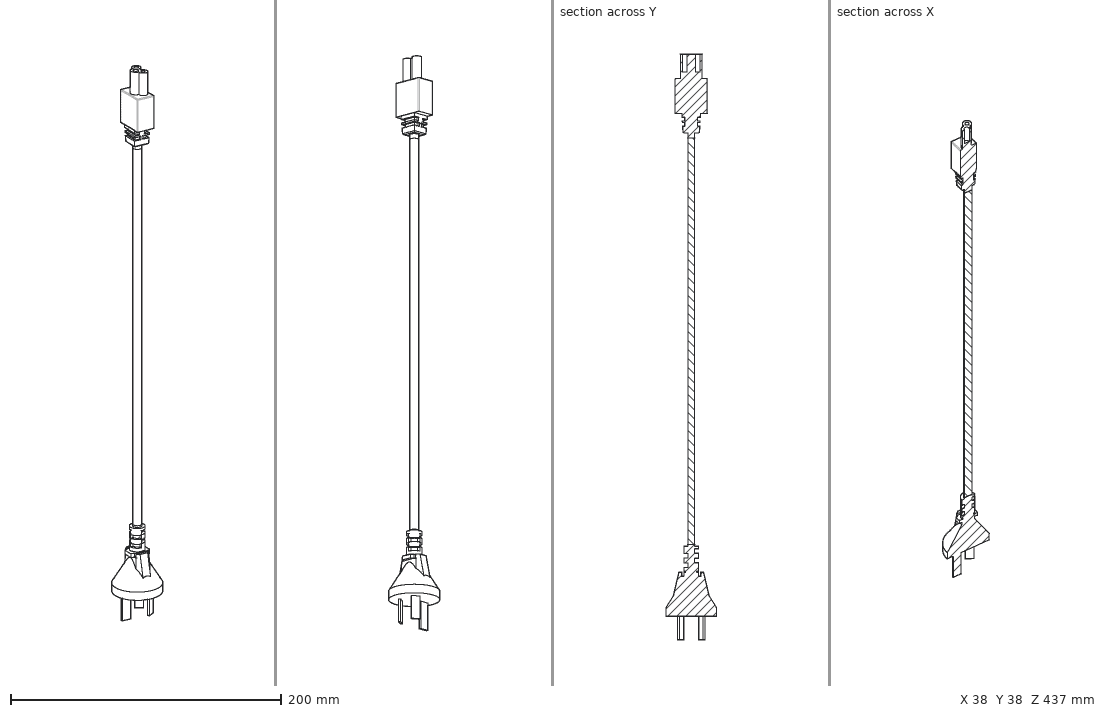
import cadquery as cq

total_height = 437.0
cord_diameter = 7.0

ground_pin_length = 21.0
ground_pin_width = 7.5
ground_pin_y = -9.85
live_pin_length = 17.5
live_pin_width = 6.5
live_pin_x = 8.0
live_pin_y = 6.5
live_pin_tilt = 30.0
pin_thickness = 1.6

disc_diameter = 38.0
disc_height = 6.5
disc_bottom = ground_pin_length
cone_bottom = disc_bottom + disc_height
cone_height = 23.5
cone_top_diameter = 8.7

hood_bottom = 35.0
hood_top = 50.5
hood_low_half_sizes = (8.5, 6.35)
hood_high_half_sizes = (7.0, 5.5)
rib_low_reach = 13.5
rib_high_reach = 9.0
rib_half_width = 3.28
rib_rise = 3.0

flange_reach = 8.5
flange_inner_half_width = 5.45
flange_outer_half_width = 4.15
flange_inner_y = 5.5
flange_height = rib_rise

relief_diameter = 12.0
relief_bottom = 54.0
relief_top = 73.0
relief_core_diameter = 7.0
throat_diameter = 9.5
slot_height = 3.0
slot_pitch = 3.5
first_slot_bottom = 57.2
slot_rows = 4
plug_neck_top = 74.5

housing_length = 24.0
housing_width = 15.0
housing_bottom = 393.0
housing_top = 419.0
housing_fillet = 0.65
block_top_size = 14.0
block_bottom_size = 12.2
block_bottom = 378.5
block_end_chamfer = 1.0
groove_core_size = 9.5
upper_groove_bottom = 387.5
lower_groove_bottom = 383.5
groove_height = 2.5
upper_bridge_width = 4.5
lower_bridge_width = 1.7
connector_neck_bottom = 375.0

upper_lobe_diameter = 7.0
upper_lobe_x = 5.0
upper_lobe_y = 2.0
lower_lobe_diameter = 8.5
lower_lobe_y = -1.5
upper_socket_diameter = 3.0
lower_socket_diameter = 4.0
socket_depth = 13.0


def cylinder(diameter, bottom, top, x=0.0, y=0.0):
    return (
        cq.Workplane("XY", origin=(x, y, bottom))
        .circle(diameter / 2)
        .extrude(top - bottom)
    )


def box(x_size, y_size, bottom, top, x=0.0, y=0.0):
    return (
        cq.Workplane("XY", origin=(x, y, bottom))
        .rect(x_size, y_size)
        .extrude(top - bottom)
    )



def plug_pins():
    ground = box(pin_thickness, ground_pin_width, 0, disc_bottom, y=ground_pin_y)
    pins = [ground]
    for side in (-1, 1):
        pin = (
            box(pin_thickness, live_pin_width, disc_bottom - live_pin_length, disc_bottom)
            .rotate((0, 0, 0), (0, 0, 1), side * live_pin_tilt)
            .translate((side * live_pin_x, live_pin_y, 0))
        )
        pins.append(pin)
    return pins


def plug_base():
    disc = cylinder(disc_diameter, disc_bottom, cone_bottom)
    cone = (
        cq.Workplane("XY", origin=(0, 0, cone_bottom))
        .circle(disc_diameter / 2)
        .workplane(offset=cone_height)
        .circle(cone_top_diameter / 2)
        .loft(ruled=True)
    )
    return disc.union(cone)


def hood_outline(core_half_sizes, rib_reach):
    """Corners of the hood: a rectangular core that tapers to a flat rib end at -X and +X."""
    half_length, half_width = core_half_sizes
    quarter = [(rib_reach, rib_half_width), (half_length, half_width)]
    upper = quarter + [(-x, y) for x, y in reversed(quarter)]
    return upper + [(x, -y) for x, y in reversed(upper)]


def plug_hood():
    rib_top = hood_top + rib_rise
    hood = (
        cq.Workplane("XY", origin=(0, 0, hood_bottom))
        .polyline(hood_outline(hood_low_half_sizes, rib_low_reach))
        .close()
        .workplane(offset=rib_top - hood_bottom)
        .polyline(hood_outline(hood_high_half_sizes, rib_high_reach))
        .close()
        .loft(ruled=True)
    )
    half_length, _ = hood_high_half_sizes
    recess = box(2 * half_length, disc_diameter, hood_top, rib_top)
    return hood.cut(recess)


def plug_flange():
    outline = [
        (flange_inner_half_width, flange_inner_y),
        (flange_outer_half_width, flange_reach),
    ]
    outline += [(-x, y) for x, y in reversed(outline)]
    outline += [(x, -y) for x, y in reversed(outline)]
    return (
        cq.Workplane("XY", origin=(0, 0, hood_top))
        .polyline(outline)
        .close()
        .extrude(flange_height)
    )


def relief_slot(row):
    """Two opposite quarter slots; rows alternate between the two pairs of quadrants."""
    bottom = first_slot_bottom + row * slot_pitch
    top = bottom + slot_height
    half = relief_diameter / 2
    x_side = 1 if row % 2 == 0 else -1
    quarters = box(half, half, bottom, top, x_side * half / 2, -half / 2).union(
        box(half, half, bottom, top, -x_side * half / 2, half / 2)
    )
    return quarters.cut(cylinder(relief_core_diameter, bottom, top))


def plug_relief():
    relief = cylinder(relief_diameter, relief_bottom, relief_top)
    for row in range(slot_rows):
        relief = relief.cut(relief_slot(row))
    throat = cylinder(throat_diameter, hood_bottom, relief_bottom)
    neck = cylinder(cord_diameter, relief_top, plug_neck_top)
    return relief.union(throat).union(neck)


def make_plug():
    plug = plug_base().union(plug_hood()).union(plug_flange()).union(plug_relief())
    for pin in plug_pins():
        plug = plug.union(pin)
    return plug



def make_cable():
    return cylinder(cord_diameter, plug_neck_top, connector_neck_bottom)



def connector_housing():
    return (
        box(housing_length, housing_width, housing_bottom, housing_top)
        .edges("|Z or >Z")
        .fillet(housing_fillet)
    )


def block_groove(bottom, bridge_width):
    """A groove around the block, interrupted by a bridge in the middle of each X face."""
    top = bottom + groove_height
    return (
        box(block_top_size, block_top_size, bottom, top)
        .cut(box(groove_core_size, groove_core_size, bottom, top))
        .cut(box(block_top_size, bridge_width, bottom, top))
    )


def connector_relief():
    block = (
        cq.Workplane("XY", origin=(0, 0, block_bottom))
        .rect(block_bottom_size, block_bottom_size)
        .workplane(offset=housing_bottom - block_bottom)
        .rect(block_top_size, block_top_size)
        .loft(ruled=True)
        .faces("<Z")
        .chamfer(block_end_chamfer)
    )
    block = block.cut(block_groove(upper_groove_bottom, upper_bridge_width))
    block = block.cut(block_groove(lower_groove_bottom, lower_bridge_width))
    neck = cylinder(cord_diameter, connector_neck_bottom, block_bottom)
    return block.union(neck)


def connector_nose():
    lobes = cylinder(lower_lobe_diameter, housing_top, total_height, y=lower_lobe_y)
    for side in (-1, 1):
        lobe = cylinder(
            upper_lobe_diameter, housing_top, total_height, side * upper_lobe_x, upper_lobe_y
        )
        lobes = lobes.union(lobe)
    return lobes


def connector_sockets():
    bottom = total_height - socket_depth
    sockets = [cylinder(lower_socket_diameter, bottom, total_height, y=lower_lobe_y)]
    for side in (-1, 1):
        sockets.append(
            cylinder(upper_socket_diameter, bottom, total_height, side * upper_lobe_x, upper_lobe_y)
        )
    return sockets


def make_connector():
    connector = connector_housing().union(connector_relief()).union(connector_nose())
    for socket in connector_sockets():
        connector = connector.cut(socket)
    return connector


plug = make_plug()
cable = make_cable()
connector = make_connector()

result = cq.Compound.makeCompound([plug.val(), cable.val(), connector.val()])